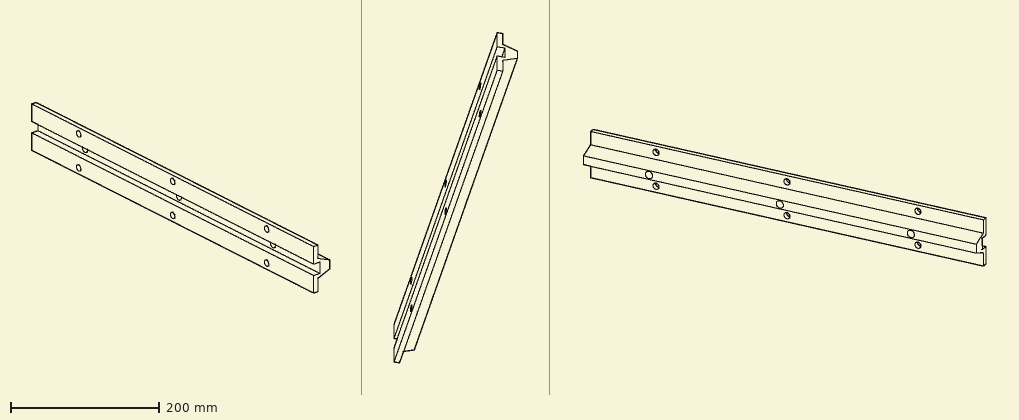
import cadquery as cq

length = 599.5
depth = 28.0
height = 69.0

flange_thickness = 8.0
slot_width = 17.0
slot_depth = 11.0

rib_root_width = 29.5
rib_tip_width = 13.0

hole_pitch = length / 3
flange_hole_diameter = 9.0
flange_hole_offset = 25.0
center_hole_diameter = 11.0

front = -depth / 2
back = depth / 2
flange_back = front + flange_thickness
slot_floor = front + slot_depth


def rail_body():
    """Extrude the symmetric cross-section along X."""
    upper_half = [
        (slot_floor, slot_width / 2),
        (front, slot_width / 2),
        (front, height / 2),
        (flange_back, height / 2),
        (flange_back, rib_root_width / 2),
        (back, rib_tip_width / 2),
    ]
    lower_half = [(y, -z) for y, z in reversed(upper_half)]
    outline = cq.Workplane("YZ").polyline(upper_half + lower_half).close()
    return outline.extrude(length / 2, both=True)


def hole_row(z, diameter):
    """Cylinders along Y, spaced along X at height z."""
    centers = [(column * hole_pitch, z) for column in (-1, 0, 1)]
    return cq.Workplane("XZ").pushPoints(centers).circle(diameter / 2).extrude(depth, both=True)


result = rail_body().cut(hole_row(0, center_hole_diameter))
for side in (-1, 1):
    result = result.cut(hole_row(side * flange_hole_offset, flange_hole_diameter))